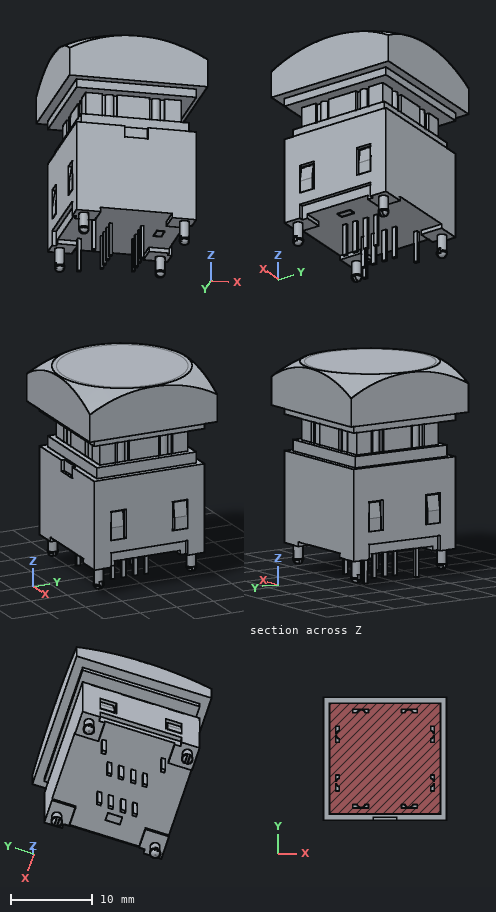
import cadquery as cq
import math

TOP_Z = 26.6
CAP_BOTTOM_Z = 20.67
PLATE_BOTTOM_Z = 19.6
STEM_BOTTOM_Z = 16.5
BODY_TOP_Z = 15.08
SEAM_Z = 13.65
UNDERSIDE_Z = 4.15
BODY_BOTTOM_Z = 3.6

CAP_WIDTH = 17.4
BODY_WIDTH = 15.08
STEM_WIDTH = 12.05
COLLAR_WIDTH = 13.6
CAP_HALF = CAP_WIDTH / 2
BODY_HALF = BODY_WIDTH / 2
STEM_HALF = STEM_WIDTH / 2

RIM_RADIUS = 8.6
DISH_RADIUS = 8.05
DISH_DEPTH = 0.8
CROWN_SPHERE_RADIUS = 19.5
CROWN_MARGIN = 0.27

SLOT_WIDTH = 1.92
SLOT_DEPTH = 0.4
SLOT_OFFSET = 2.98
POST_RADIUS = 0.53
POST_OFFSET = 2.93
POST_INSET = 0.03

KEY_WIDTH = 2.93
KEY_DEPTH = 0.4
FOOT_INNER = 4.5
LEG_INNER = 5.25
BASE_RECESS_TOP_Z = 5.48
BASE_RECESS_DEPTH = 0.53
WINDOW_INNER = 3.17
WINDOW_DEPTH = 0.53
WINDOW_BOTTOM_Z = 7.08
WINDOW_TOP_Z = 10.8
LATCH_INNER = 3.45
LATCH_TOP_Z = 10.61
LATCH_RAMP_Z = 8.72
LATCH_FRONT_INSET = 0.05
LATCH_TOP_INSET = 0.35
PAD_MIN_X, PAD_MAX_X = 4.07, 5.05
PAD_MIN_Y, PAD_MAX_Y = -1.38, 0.48
PAD_THICKNESS = 0.08

PEG_RADIUS = 1.2 / 2
PEG_OFFSET = 6.33
PEG_TIP_HEIGHT = 0.53
LONG_BARB_Z = 1.2
SHORT_BARB_Z = 1.57
BARB_HEIGHT = 0.19
BARB_SPREAD = 0.08
PEG_SLIT_WIDTH = 0.35
PEG_SLIT_BOTTOM_Z = SHORT_BARB_Z - PEG_TIP_HEIGHT
PEG_SLIT_TOP_Z = 1.73

TERMINAL_ROW_X = 2.0
TERMINAL_THICKNESS = 0.32
TERMINAL_WIDTH = 0.5
TERMINAL_OUTER_Y = 2.3
TERMINAL_INNER_Y = 0.8
INNER_TERMINAL_WIDTH = 0.59
SIDE_TERMINAL_X = -4.5
SIDE_TERMINAL_Y = 3.8
SIDE_TERMINAL_THICKNESS = 0.4


def block(x_min, x_max, y_min, y_max, z_min, z_max):
    """Axis-aligned block between the given limits."""
    size = (x_max - x_min, y_max - y_min, z_max - z_min)
    return cq.Workplane("XY").box(*size, centered=False).translate((x_min, y_min, z_min))


def square_level(width, z_min, z_max):
    """Square block centred on the Z axis."""
    half = width / 2
    return block(-half, half, -half, half, z_min, z_max)


def make_cap():
    """Square cap cut by a spherical shoulder, with a dished top."""
    corner_radius = CAP_HALF * math.sqrt(2) + CROWN_MARGIN
    sphere_z = TOP_Z - math.sqrt(CROWN_SPHERE_RADIUS**2 - RIM_RADIUS**2)

    def shoulder_z(radius):
        return sphere_z + math.sqrt(CROWN_SPHERE_RADIUS**2 - radius**2)

    middle_radius = (RIM_RADIUS + corner_radius) / 2
    dish_sphere_radius = (DISH_RADIUS**2 + DISH_DEPTH**2) / (2 * DISH_DEPTH)
    dish_middle = DISH_RADIUS / 2
    dish_sphere_z = TOP_Z - DISH_DEPTH + dish_sphere_radius
    dish_middle_z = dish_sphere_z - math.sqrt(dish_sphere_radius**2 - dish_middle**2)
    crown = (
        cq.Workplane("XZ")
        .moveTo(0, CAP_BOTTOM_Z)
        .lineTo(corner_radius, CAP_BOTTOM_Z)
        .lineTo(corner_radius, shoulder_z(corner_radius))
        .threePointArc((middle_radius, shoulder_z(middle_radius)), (RIM_RADIUS, TOP_Z))
        .lineTo(DISH_RADIUS, TOP_Z)
        .threePointArc((dish_middle, dish_middle_z), (0, TOP_Z - DISH_DEPTH))
        .close()
        .revolve(360, (0, 0, 0), (0, 1, 0))
    )
    return square_level(CAP_WIDTH, CAP_BOTTOM_Z, TOP_Z).intersect(crown)


def make_stem():
    """Square stem in its collar, with two slots on each side and a round post in each slot."""
    stem = square_level(STEM_WIDTH, STEM_BOTTOM_Z, PLATE_BOTTOM_Z)
    stem = stem.union(square_level(COLLAR_WIDTH, BODY_TOP_Z, STEM_BOTTOM_Z))
    slot_floor_y = -STEM_HALF + SLOT_DEPTH
    post_y = -STEM_HALF + POST_INSET + POST_RADIUS
    for quarter in range(4):
        for side in (-1, 1):
            slot_x = side * SLOT_OFFSET
            slot = block(
                slot_x - SLOT_WIDTH / 2, slot_x + SLOT_WIDTH / 2,
                -STEM_HALF, slot_floor_y,
                BODY_TOP_Z, PLATE_BOTTOM_Z,
            )
            post = (
                cq.Workplane("XY", origin=(side * POST_OFFSET, post_y, BODY_TOP_Z))
                .circle(POST_RADIUS)
                .extrude(PLATE_BOTTOM_Z - BODY_TOP_Z)
            )
            turn = ((0, 0, 0), (0, 0, 1), 90 * quarter)
            stem = stem.cut(slot.rotate(*turn)).union(post.rotate(*turn))
    return stem


def make_latch_window():
    """Cutter for the window beside the -X, +Y leg, leaving the ramped latch inside."""
    face_x = -BODY_HALF
    window = block(
        face_x, face_x + WINDOW_DEPTH, WINDOW_INNER, LEG_INNER, WINDOW_BOTTOM_Z, WINDOW_TOP_Z
    )
    latch_front_x = face_x + LATCH_FRONT_INSET
    latch = (
        cq.Workplane("XZ", origin=(0, LEG_INNER, 0))
        .polyline([
            (face_x + WINDOW_DEPTH, WINDOW_BOTTOM_Z),
            (latch_front_x, WINDOW_BOTTOM_Z),
            (latch_front_x, LATCH_RAMP_Z),
            (face_x + LATCH_TOP_INSET, LATCH_TOP_Z),
            (face_x + WINDOW_DEPTH, LATCH_TOP_Z),
        ])
        .close()
        .extrude(LEG_INNER - LATCH_INNER)
    )
    return window.cut(latch)


def make_body():
    """Housing with corner feet, a key notch, recessed base sides and latch windows."""
    body = square_level(BODY_WIDTH, BODY_BOTTOM_Z, BODY_TOP_Z)

    body = body.cut(block(-FOOT_INNER, FOOT_INNER, -BODY_HALF, BODY_HALF, BODY_BOTTOM_Z, UNDERSIDE_Z))
    body = body.cut(block(-BODY_HALF, BODY_HALF, -FOOT_INNER, FOOT_INNER, BODY_BOTTOM_Z, UNDERSIDE_Z))

    body = body.cut(
        block(-KEY_WIDTH / 2, KEY_WIDTH / 2, -BODY_HALF, -BODY_HALF + KEY_DEPTH, SEAM_Z, BODY_TOP_Z)
    )

    base_recess = block(
        -BODY_HALF, -BODY_HALF + BASE_RECESS_DEPTH, -LEG_INNER, LEG_INNER, BODY_BOTTOM_Z, BASE_RECESS_TOP_Z
    )
    window = make_latch_window()
    side_cut = base_recess.union(window).union(window.mirror("XZ"))
    body = body.cut(side_cut).cut(side_cut.mirror("YZ"))

    pad = block(PAD_MIN_X, PAD_MAX_X, PAD_MIN_Y, PAD_MAX_Y, UNDERSIDE_Z - PAD_THICKNESS, UNDERSIDE_Z)
    return body.union(pad)


def make_peg(x, y, barb_z):
    """Round-tipped peg, slit along X, with a barb spread along Y just above its tip."""
    tip_z = barb_z - PEG_TIP_HEIGHT
    peg = cq.Workplane("XY", origin=(x, y, tip_z)).circle(PEG_RADIUS).extrude(BODY_BOTTOM_Z - tip_z)
    peg = peg.faces("<Z").edges().fillet(PEG_TIP_HEIGHT)
    for side in (-1, 1):
        barb = cq.Workplane("XY", origin=(x, y + side * BARB_SPREAD, barb_z))
        peg = peg.union(barb.circle(PEG_RADIUS).extrude(BARB_HEIGHT))
    slit = block(
        x - PEG_RADIUS, x + PEG_RADIUS,
        y - PEG_SLIT_WIDTH / 2, y + PEG_SLIT_WIDTH / 2,
        PEG_SLIT_BOTTOM_Z, PEG_SLIT_TOP_Z,
    )
    return peg.cut(slit)


def make_terminal(x, y, thickness, width):
    """Flat terminal rooted in the body and ending at height zero."""
    return block(x - thickness / 2, x + thickness / 2, y - width / 2, y + width / 2, 0, BASE_RECESS_TOP_Z)


result = make_cap()
result = result.union(square_level(BODY_WIDTH, PLATE_BOTTOM_Z, CAP_BOTTOM_Z))
result = result.union(make_stem())
result = result.union(make_body())

for x_side in (-1, 1):
    for y_side in (-1, 1):
        peg_barb_z = SHORT_BARB_Z if x_side == y_side else LONG_BARB_Z
        result = result.union(make_peg(x_side * PEG_OFFSET, y_side * PEG_OFFSET, peg_barb_z))

for y_side in (-1, 1):
    result = result.union(
        make_terminal(SIDE_TERMINAL_X, y_side * SIDE_TERMINAL_Y, SIDE_TERMINAL_THICKNESS, TERMINAL_WIDTH)
    )
    for row_x in (-TERMINAL_ROW_X, TERMINAL_ROW_X):
        outer_terminal = make_terminal(
            row_x, y_side * TERMINAL_OUTER_Y, TERMINAL_THICKNESS, TERMINAL_WIDTH
        )
        inner_terminal = make_terminal(
            row_x, y_side * TERMINAL_INNER_Y, TERMINAL_THICKNESS, INNER_TERMINAL_WIDTH
        )
        result = result.union(outer_terminal).union(inner_terminal)